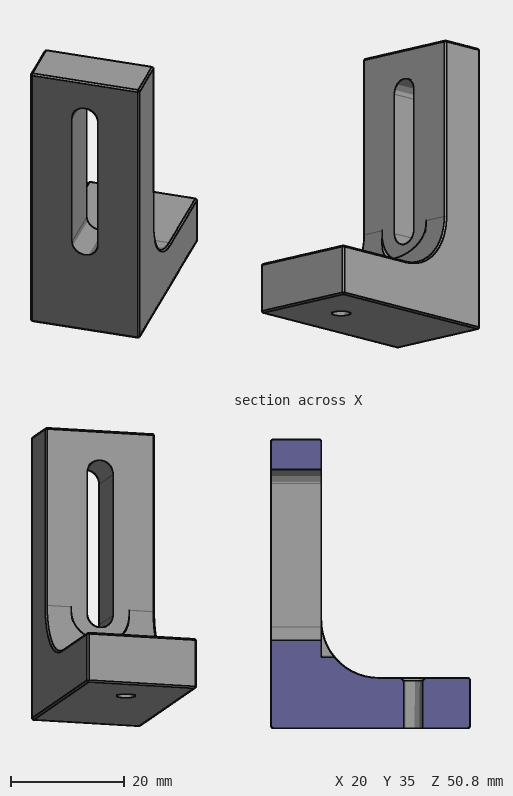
import cadquery as cq

width = 20.0
depth = 35.0
height = 50.8
leg_thickness = 8.9
inner_radius = 10.0
edge_chamfer = 0.3

slot_width = 4.7
slot_bottom = 15.5
slot_top = 45.45
clearance_diameter = 10.55

hole_diameter = 3.3
countersink_diameter = 4.35
countersink_angle = 90
hole_from_foot_end = 10.0


def make_body():
    """L-shaped bracket with a round inner corner and chamfered outlines."""
    bend_end = leg_thickness + inner_radius
    profile = (
        cq.Workplane("YZ")
        .moveTo(0, 0)
        .lineTo(depth, 0)
        .lineTo(depth, leg_thickness)
        .lineTo(bend_end, leg_thickness)
        .radiusArc((leg_thickness, bend_end), inner_radius)
        .lineTo(leg_thickness, height)
        .lineTo(0, height)
        .close()
    )
    body = profile.extrude(width / 2, both=True)
    side_edges = body.faces("<X or >X").edges()
    corner_edges = body.edges("|X").edges("<Y or >Y or >Z")
    return body.newObject(side_edges.vals() + corner_edges.vals()).chamfer(edge_chamfer)


def make_slot_cutter(cutter_width, start_y, end_y):
    """Upright slot along Y, sharing the end centres of the through slot."""
    center_distance = slot_top - slot_bottom - slot_width
    return (
        cq.Workplane("XZ", origin=(0, start_y, (slot_top + slot_bottom) / 2))
        .slot2D(center_distance + cutter_width, cutter_width, 90)
        .extrude(start_y - end_y)
    )


def drill_foot(body):
    """Hole down through the foot, countersunk on its upper face."""
    return (
        body.copyWorkplane(
            cq.Workplane("XY", origin=(0, depth - hole_from_foot_end, leg_thickness))
        )
        .pushPoints([(0, 0)])
        .cskHole(hole_diameter, countersink_diameter, countersink_angle)
    )


through_slot = make_slot_cutter(slot_width, 0, leg_thickness)
washer_clearance = make_slot_cutter(clearance_diameter, leg_thickness, depth)
result = drill_foot(make_body().cut(through_slot).cut(washer_clearance))